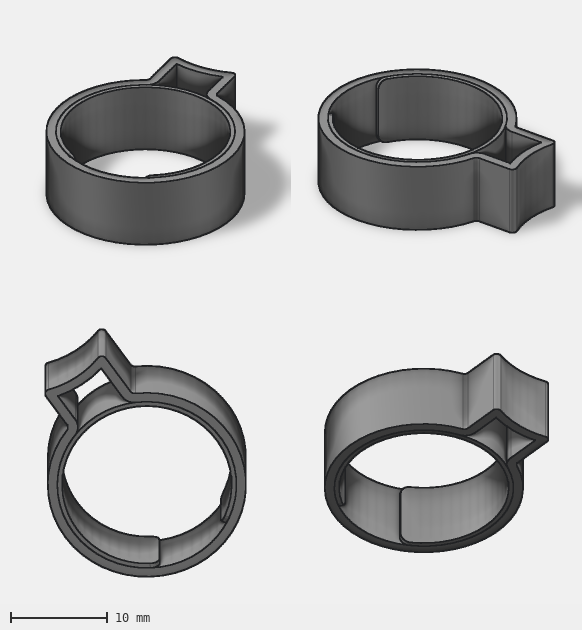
import cadquery as cq
import math

height = 7.5
band_diameter = 20.5
band_wall = 1.0
band_outer_radius = band_diameter / 2
band_inner_radius = band_outer_radius - band_wall

boss_width = 7.5
boss_center_x = -0.75
boss_middle_y = 14.0
boss_face_radius = 10.0
boss_side_wall = 1.05
boss_corner_radius = 0.5
outer_root_radius = 0.5
inner_root_radius = outer_root_radius + band_wall

liner_wall = 0.5
liner_outer_radius = band_inner_radius
liner_inner_radius = liner_outer_radius - liner_wall
liner_gap_half_angle = 26.2
liner_corner_radius = 1.0


def boss_block(width, middle_y, face_radius):
    """Block from the band centre to a concave +Y face."""
    half_width = width / 2
    left = boss_center_x - half_width
    right = boss_center_x + half_width
    sag = face_radius - math.sqrt(face_radius**2 - half_width**2)
    corner_y = middle_y + sag
    return (
        cq.Workplane("XY")
        .moveTo(left, 0)
        .lineTo(left, corner_y)
        .threePointArc((boss_center_x, middle_y), (right, corner_y))
        .lineTo(right, 0)
        .close()
        .extrude(height)
    )


def upright_edges_in_range(body, low_y, high_y):
    """Vertical edges of the boss whose Y lies between two limits."""
    reach_x = boss_width
    selector = cq.selectors.BoxSelector(
        (boss_center_x - reach_x, low_y, 0),
        (boss_center_x + reach_x, high_y, height),
    )
    return body.edges("|Z").edges(selector)


def make_silhouette(radius, width, middle_y, face_radius, root_radius):
    """Round disc joined to the boss block, with rounded roots between them."""
    disc = cq.Workplane("XY").circle(radius).extrude(height)
    body = disc.union(boss_block(width, middle_y, face_radius))
    return upright_edges_in_range(body, radius / 2, radius).fillet(root_radius)


def make_band():
    """Band and boss with walls of near-constant thickness, open through Z."""
    outside = make_silhouette(
        band_outer_radius, boss_width, boss_middle_y, boss_face_radius, outer_root_radius
    )
    outside = upright_edges_in_range(
        outside, boss_middle_y, boss_middle_y + band_wall
    ).fillet(boss_corner_radius)
    inside = make_silhouette(
        band_inner_radius,
        boss_width - 2 * boss_side_wall,
        boss_middle_y - band_wall,
        boss_face_radius + band_wall,
        inner_root_radius,
    )
    return outside.cut(inside)


def make_liner():
    """C-shaped liner with its gap at -Y and rounded corners at both ends."""
    ring = (
        cq.Workplane("XY")
        .circle(liner_outer_radius)
        .circle(liner_inner_radius)
        .extrude(height)
    )
    gap_depth = 2 * liner_outer_radius
    gap_half_width = gap_depth * math.tan(math.radians(liner_gap_half_angle))
    gap = (
        cq.Workplane("XY")
        .polyline([(0, 0), (-gap_half_width, -gap_depth), (gap_half_width, -gap_depth)])
        .close()
        .extrude(height)
    )
    return ring.cut(gap).edges("%LINE").edges("not |Z").fillet(liner_corner_radius)


band = make_band()
liner = make_liner()
result = cq.Compound.makeCompound([band.val(), liner.val()])